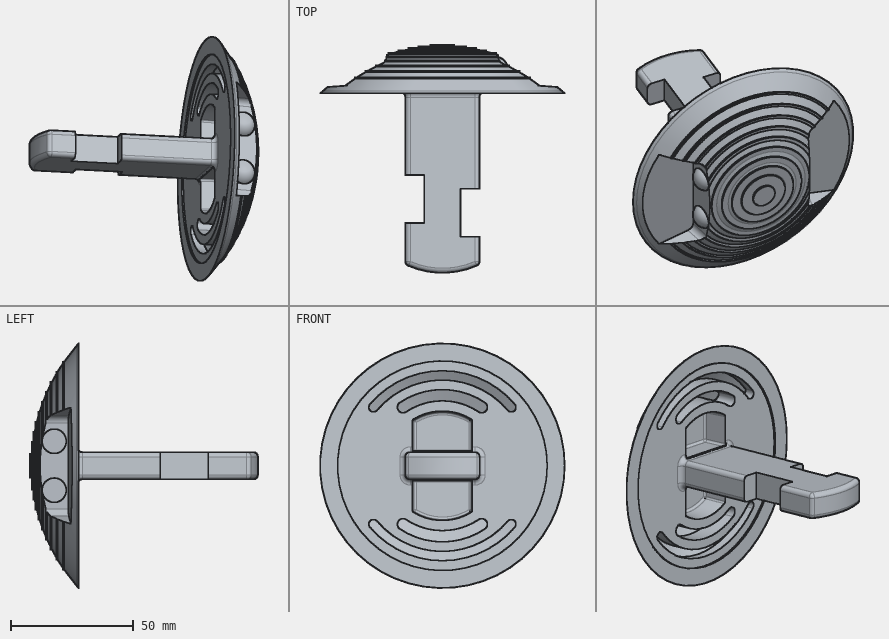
import cadquery as cq
import math

CAP_RADIUS = 49.75
DOME_RISE = 19.2
DOME_BALL_RADIUS = (CAP_RADIUS ** 2 + DOME_RISE ** 2) / (2 * DOME_RISE)
DOME_BALL_Y = DOME_RISE - DOME_BALL_RADIUS
RIM_HEIGHT = 1.0

STEP_RADII = [42.3, 38.2, 34.1, 30.0, 26.1, 22.0, 17.9, 13.8, 9.8]
STEP_RISE = 0.6
CAP_HEIGHT = 19.8

RECESS_RADIUS = 42.6
RECESS_DEPTH = 0.7

SHAFT_WIDTH = 30.2
SHAFT_THICKNESS = 11.1
SHAFT_LENGTH = 72.9
SHAFT_CORNER_Y = -69.5
SHAFT_EDGE_RADIUS = 2.0
SHAFT_ROOT_RADIUS = 2.2
NECK_HALF_WIDTH = 7.5
NOTCH_LENGTH = 19.4
LEFT_NOTCH_START = 33.2
RIGHT_NOTCH_START = 38.8

POCKET_WIDTH = 24.5
POCKET_END_RADIUS = 22.3
POCKET_FLOOR_Y = 11.2
POCKET_DRAFT = 3.0
POCKET_FILLET = 1.0

ARC_SLOTS = [(36.7, 3.8, 49.7), (28.7, 4.6, 33.9)]
SLOT_ROOF_THICKNESS = 3.0

GRIP_WALL_X = 23.6
GRIP_WALL_TILT = 10.0
GRIP_FLOOR_TILT = 4.0
GRIP_INNER_HALF_WIDTH = 19.7
GRIP_FLARE = 15.3
GRIP_FLOOR_Y = 4.3
GRIP_CORNER_RADIUS = 3.0

INSERT_RADIUS = 5.0
INSERT_DEPTH = 3.0
INSERT_Y = 9.95
INSERT_OFFSETS_Z = [-9.95, 9.95]
BUMP_HEIGHT = 3.1
BUMP_ROOT_DEPTH = 1.0


def dome_height(radius):
    """Height of the smooth dome at a distance from the cap axis."""
    return DOME_BALL_Y + math.sqrt(DOME_BALL_RADIUS ** 2 - radius ** 2)


def y_cylinder(radius, y_start, y_end):
    """Cylinder on the cap axis between two heights."""
    disc = cq.Workplane("XZ", origin=(0, y_start, 0)).circle(radius)
    return disc.extrude(y_start - y_end)


def make_dome():
    rim_radius = math.sqrt(DOME_BALL_RADIUS ** 2 - (RIM_HEIGHT - DOME_BALL_Y) ** 2)
    middle_radius = rim_radius / 2
    dome = (
        cq.Workplane("XY")
        .moveTo(0, 0)
        .lineTo(CAP_RADIUS, 0)
        .lineTo(rim_radius, RIM_HEIGHT)
        .threePointArc((middle_radius, dome_height(middle_radius)), (0, DOME_RISE))
        .close()
        .revolve(360, (0, 0, 0), (0, 1, 0))
    )
    for radius in STEP_RADII:
        step_top = min(dome_height(radius) + STEP_RISE, CAP_HEIGHT)
        dome = dome.union(y_cylinder(radius, 0, step_top))
    return dome.union(y_cylinder(STEP_RADII[-1] / 2, 0, CAP_HEIGHT))


def make_shaft():
    half_width = SHAFT_WIDTH / 2
    blade = (
        cq.Workplane("XY", origin=(0, 0, -SHAFT_THICKNESS / 2))
        .moveTo(-half_width, POCKET_FLOOR_Y)
        .lineTo(-half_width, SHAFT_CORNER_Y)
        .threePointArc((0, -SHAFT_LENGTH), (half_width, SHAFT_CORNER_Y))
        .lineTo(half_width, POCKET_FLOOR_Y)
        .close()
        .extrude(SHAFT_THICKNESS)
    )
    blade = blade.edges("not >Y").fillet(SHAFT_EDGE_RADIUS)
    notch_depth = half_width - NECK_HALF_WIDTH
    notch_x = NECK_HALF_WIDTH + notch_depth / 2
    for side, start in [(-1, LEFT_NOTCH_START), (1, RIGHT_NOTCH_START)]:
        notch = cq.Workplane("XY").box(notch_depth, NOTCH_LENGTH, SHAFT_THICKNESS)
        blade = blade.cut(notch.translate((side * notch_x, -start - NOTCH_LENGTH / 2, 0)))
    return blade


def add_root_fillet(body):
    """Fillet where the shaft leaves the floor of the back recess."""
    margin = 1.0
    root_zone = cq.selectors.BoxSelector(
        (-SHAFT_WIDTH / 2 - margin, RECESS_DEPTH - 0.1, -SHAFT_THICKNESS / 2 - margin),
        (SHAFT_WIDTH / 2 + margin, RECESS_DEPTH + 0.1, SHAFT_THICKNESS / 2 + margin),
        boundingbox=True,
    )
    return body.edges(root_zone).fillet(SHAFT_ROOT_RADIUS)


def make_back_pocket():
    """Drafted cutter for the pocket on the +Z side of the shaft."""
    half_width = POCKET_WIDTH / 2
    corner_z = math.sqrt(POCKET_END_RADIUS ** 2 - half_width ** 2)
    tapered = (
        cq.Workplane("XZ")
        .moveTo(-half_width, -corner_z)
        .lineTo(-half_width, corner_z)
        .threePointArc((0, POCKET_END_RADIUS), (half_width, corner_z))
        .lineTo(half_width, -corner_z)
        .threePointArc((0, -POCKET_END_RADIUS), (-half_width, -corner_z))
        .close()
        .extrude(-POCKET_FLOOR_Y, taper=POCKET_DRAFT)
    )
    upper = cq.Workplane("XY", origin=(0, 0, SHAFT_THICKNESS / 2)).rect(99.5, 99.5).extrude(49.75)
    pocket = tapered.intersect(upper)
    return pocket.edges("not <Y").fillet(POCKET_FILLET)


def make_arc_slot(mid_radius, width, half_angle):
    """Cutter for the round-ended slot on the +Z side, not yet limited in depth."""
    inner = mid_radius - width / 2
    outer = mid_radius + width / 2
    angle = math.radians(half_angle)
    sin_end = math.sin(angle)
    cos_end = math.cos(angle)
    tip_x = mid_radius * sin_end + width / 2 * cos_end
    tip_z = mid_radius * cos_end - width / 2 * sin_end
    return (
        cq.Workplane("XZ")
        .moveTo(-outer * sin_end, outer * cos_end)
        .threePointArc((0, outer), (outer * sin_end, outer * cos_end))
        .threePointArc((tip_x, tip_z), (inner * sin_end, inner * cos_end))
        .threePointArc((0, inner), (-inner * sin_end, inner * cos_end))
        .threePointArc((-tip_x, tip_z), (-outer * sin_end, outer * cos_end))
        .close()
        .extrude(-CAP_HEIGHT)
    )


def make_back_cuts():
    """All cutters on the +Z side of the back."""
    roof = cq.Workplane("XY").sphere(DOME_BALL_RADIUS - SLOT_ROOF_THICKNESS).translate((0, DOME_BALL_Y, 0))
    cuts = [make_arc_slot(*slot).intersect(roof) for slot in ARC_SLOTS]
    cuts.append(make_back_pocket())
    return cuts


def make_grip_cutter():
    """Cutter for the +X grip: a leaning inner wall, flared side walls and a sloping floor."""
    reach = CAP_RADIUS
    outer_half_width = GRIP_INNER_HALF_WIDTH + reach * math.tan(math.radians(GRIP_FLARE))
    wedge = (
        cq.Workplane("XZ")
        .polyline([
            (0, -GRIP_INNER_HALF_WIDTH),
            (reach, -outer_half_width),
            (reach, outer_half_width),
            (0, GRIP_INNER_HALF_WIDTH),
        ])
        .close()
        .extrude(CAP_RADIUS, both=True)
        .edges("|Y and <X")
        .fillet(GRIP_CORNER_RADIUS)
    )
    wedge = wedge.rotate((0, 0, 0), (0, 0, 1), GRIP_WALL_TILT).translate((GRIP_WALL_X, INSERT_Y, 0))
    above_floor = (
        cq.Workplane("XY")
        .box(4 * CAP_RADIUS, CAP_RADIUS, 2 * CAP_RADIUS, centered=(True, False, True))
        .rotate((0, 0, 0), (0, 0, 1), -GRIP_FLOOR_TILT)
        .translate((GRIP_WALL_X, GRIP_FLOOR_Y, 0))
    )
    return wedge.intersect(above_floor)


def place_on_grip_wall(solid, side, z):
    """Turn a solid built along +X onto the grip wall at the given side."""
    placed = solid.rotate((0, 0, 0), (0, 0, 1), GRIP_WALL_TILT).translate((GRIP_WALL_X, INSERT_Y, z))
    if side < 0:
        return placed.mirror("YZ")
    return placed


def make_insert(z):
    disc = cq.Workplane("YZ").circle(INSERT_RADIUS).extrude(-INSERT_DEPTH)
    return place_on_grip_wall(disc, -1, z)


def make_bump(z):
    ball_radius = (INSERT_RADIUS ** 2 + BUMP_HEIGHT ** 2) / (2 * BUMP_HEIGHT)
    middle_radius = INSERT_RADIUS / 2
    middle_height = BUMP_HEIGHT - ball_radius + math.sqrt(ball_radius ** 2 - middle_radius ** 2)
    bump = (
        cq.Workplane("XY")
        .moveTo(-BUMP_ROOT_DEPTH, 0)
        .lineTo(-BUMP_ROOT_DEPTH, INSERT_RADIUS)
        .lineTo(0, INSERT_RADIUS)
        .threePointArc((middle_height, middle_radius), (BUMP_HEIGHT, 0))
        .close()
        .revolve(360, (0, 0, 0), (1, 0, 0))
    )
    return place_on_grip_wall(bump, 1, z)


def make_housing(inserts):
    housing = make_dome()
    grip = make_grip_cutter()
    housing = housing.cut(grip).cut(grip.mirror("YZ"))
    housing = housing.cut(y_cylinder(RECESS_RADIUS, 0, RECESS_DEPTH))
    housing = add_root_fillet(housing.union(make_shaft()))
    for cut in make_back_cuts():
        housing = housing.cut(cut).cut(cut.mirror("XY"))
    for z in INSERT_OFFSETS_Z:
        housing = housing.union(make_bump(z))
    for insert in inserts:
        housing = housing.cut(insert)
    return housing


inserts = [make_insert(z) for z in INSERT_OFFSETS_Z]
housing = make_housing(inserts)

result = cq.Compound.makeCompound([housing.val(), *[insert.val() for insert in inserts]])